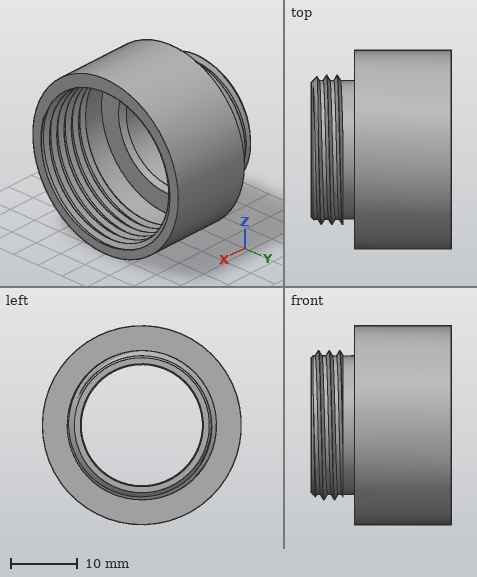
import cadquery as cq
import math

length = 21.0
body_diameter = 29.85

neck_length = 6.45
neck_diameter = 20.85
tip_chamfer = 0.3

neck_thread_end = 4.78
neck_thread_turns = 3
neck_thread_phase = -0.1

pitch = neck_thread_end / neck_thread_turns
ridge_base = 1.02
ridge_crest = 0.05
ridge_height = 0.78
ridge_overlap = 0.05

socket_floor = 7.52
socket_diameter = 26.75
socket_thread_start = 11.85
socket_thread_phase = -0.03

bore_diameter = 18.15
bore_tip_chamfer = 0.15
bore_socket_chamfer = 0.8

body_radius = body_diameter / 2
neck_radius = neck_diameter / 2
tip_radius = neck_radius - tip_chamfer
socket_radius = socket_diameter / 2
bore_radius = bore_diameter / 2


def revolved(points):
    """Solid of revolution about the X axis from (x, radius) points."""
    return cq.Workplane("XY").polyline(points).close().revolve(360, (0, 0, 0), (1, 0, 0))


def helix(radius, start, turns):
    """Right-handed helix about the X axis, starting on the -Y side at X = start."""
    origin = cq.Vector(0, 0, 0)
    wire = cq.Wire.makeHelix(pitch, pitch * turns, radius)
    wire = wire.rotate(origin, cq.Vector(0, 1, 0), 90)
    wire = wire.rotate(origin, cq.Vector(1, 0, 0), -90)
    return wire.translate(cq.Vector(start, 0, 0)).Edges()[0]


def thread_ridge(root_radius, outward, start, turns):
    """Helical ridge on a cylinder; outward is 1 for a male thread and -1 for a female one.

    The foot sinks into the cylinder by ridge_overlap so that the two join cleanly.
    """
    foot_radius = root_radius - outward * ridge_overlap
    crest_radius = root_radius + outward * ridge_height
    flank_slope = (ridge_base - ridge_crest) / 2 / ridge_height
    half_foot = ridge_base / 2 + flank_slope * ridge_overlap
    half_crest = ridge_crest / 2
    edges = [
        helix(foot_radius, start - half_foot, turns),
        helix(crest_radius, start - half_crest, turns),
        helix(crest_radius, start + half_crest, turns),
        helix(foot_radius, start + half_foot, turns),
    ]
    faces = []
    for edge, next_edge in zip(edges, edges[1:] + edges[:1]):
        faces.append(cq.Face.makeRuledSurface(edge, next_edge))
    for end in (0, 1):
        corners = [edge.positionAt(end) for edge in edges]
        faces.append(cq.Face.makeFromWires(cq.Wire.makePolygon(corners, close=True)))
    return cq.Workplane(cq.Solid.makeSolid(cq.Shell.makeShell(faces)))


def thread(root_radius, outward, start, end, phase, envelope):
    """Thread between X = start and X = end; the ridge runs past both ends and the envelope trims it."""
    spare_turns = 2
    turns = math.ceil((end - start) / pitch) + 2 * spare_turns
    ridge_start = start + phase - spare_turns * pitch
    return thread_ridge(root_radius, outward, ridge_start, turns).intersect(envelope)


def neck_thread():
    """Male thread, cut by the extended 45 degree tip chamfer and by a flat end."""
    envelope = revolved([
        (0, 0),
        (0, tip_radius),
        (neck_thread_end, tip_radius + neck_thread_end),
        (neck_thread_end, 0),
    ])
    return thread(neck_radius, 1, 0, neck_thread_end, neck_thread_phase, envelope)


def socket_thread():
    """Female thread that runs out through the open end of the socket."""
    envelope = revolved([
        (socket_thread_start, 0),
        (socket_thread_start, body_radius),
        (length, body_radius),
        (length, 0),
    ])
    return thread(socket_radius, -1, socket_thread_start, length, socket_thread_phase, envelope)


def plain_adapter():
    """Neck, body, bore and socket without their threads."""
    return revolved([
        (0, bore_radius + bore_tip_chamfer),
        (0, tip_radius),
        (tip_chamfer, neck_radius),
        (neck_length, neck_radius),
        (neck_length, body_radius),
        (length, body_radius),
        (length, socket_radius),
        (socket_floor, socket_radius),
        (socket_floor, bore_radius + bore_socket_chamfer),
        (socket_floor - bore_socket_chamfer, bore_radius),
        (bore_tip_chamfer, bore_radius),
    ])


result = plain_adapter().union(neck_thread()).union(socket_thread())